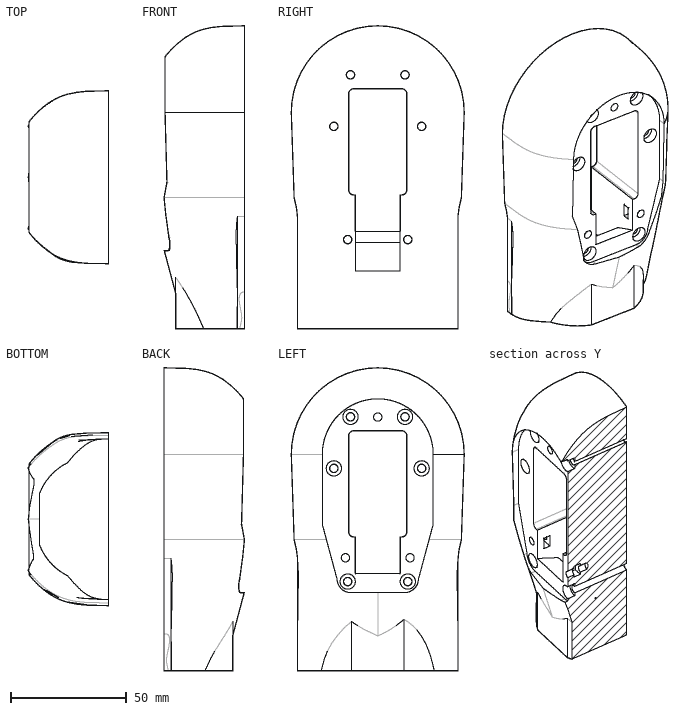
import cadquery as cq
import math


total_height = 131.18
head_radius = 37.47
head_center_z = total_height - head_radius
waist_z = 56.8
waist_half_width = 36.25
side_curve_start_depth = 8.0
side_curve_radius = 33.05
back_direction = (-1, 0)
crest_direction = (-0.12, -1)
neck_back_widths = [(14.2, 34.75), (28.4, 34.5), (42.6, 34.35)]
base_back_half_width = 34.78
base_side_depth = 8.0
base_side_half_width = 33.4
base_shoulder_depth = 17.3
base_shoulder_half_width = 25.0
base_crest_depth = 25.8

foot_face_depth = 29.8
foot_face_half_width = 11.3
foot_corner_bulge = 1.9
foot_side_depth = 3.1
foot_side_half_width = 34.74
foot_shoulder_depth = 16.6
foot_shoulder_half_width = 25.0
foot_height = 51.5

panel_depth = 31.1
panel_half_width = 24.0
panel_taper_z = 63.4
panel_corner_top_z = 39.6
panel_corner_half_width = 17.6
panel_bottom_z = 33.8
panel_bottom_half_width = 11.3

window_top_z = 103.8
window_step_z = 58.0
window_bottom_z = 42.1
window_half_width = 12.5
window_lower_half_width = 9.7
window_corner_radius = 2.0

sill_length = 11.0
sill_drop = 4.7
channel_bottom_z = 25.0

mount_places = [(11.8, 109.9), (19.0, 87.6), (13.0, 38.6)]
mount_hole_diameter = 3.5
counterbore_diameter = 6.6
counterbore_depth = 3.7
screw_hole_diameter = 3.6
screw_hole_depth = 10.0
screw_point_angle = 118.0
top_screw_z = 109.8
side_screw_half_spacing = 14.0
side_screw_z = 48.9
nut_slot_offset = 3.4
nut_slot_thickness = 3.2
nut_slot_height = 5.8
nut_slot_overrun = 3.1


def side_curve(half_width):
    """Points of the side wall as (depth, half width), from the back plane to the crest at Y = 0."""
    center_half_width = half_width - side_curve_radius
    crest_angle = math.acos(-center_half_width / side_curve_radius)
    points = [(0, half_width)]
    for share in (1 / 3, 2 / 3, 1):
        angle = crest_angle * share
        depth = side_curve_start_depth + side_curve_radius * math.sin(angle)
        points.append((depth, center_half_width + side_curve_radius * math.cos(angle)))
    return points


def base_curve():
    """Points of the side wall at the foot, matching those of the upper side curve."""
    return [
        (0, base_back_half_width),
        (base_side_depth, base_side_half_width),
        (base_shoulder_depth, base_shoulder_half_width),
        (base_crest_depth, 0),
    ]


def neck_curve(z, back_half_width):
    """Side wall between foot and waist at height z, with its own width at the back plane."""
    share = z / waist_z
    curve = []
    for low, high in zip(base_curve(), side_curve(waist_half_width)):
        curve.append(tuple(a + (b - a) * share for a, b in zip(low, high)))
    return [(0, back_half_width)] + curve[1:]


def add_side(sketch, curve):
    """Continue a sketch from the back plane along the +Y side wall to the crest."""
    points = [(-depth, half_width) for depth, half_width in curve]
    return sketch.lineTo(*points[0]).spline(
        points[1:], tangents=[back_direction, crest_direction], includeCurrent=True
    )


def section_wire(z, curve):
    """Horizontal shell section: two curved sides that meet in a crest at Y = 0."""
    other_side = [(-depth, -half_width) for depth, half_width in reversed(curve[:-1])]
    leaving_crest = (-crest_direction[0], crest_direction[1])
    reaching_back = (-back_direction[0], back_direction[1])
    sketch = cq.Workplane("XY", origin=(0, 0, z)).moveTo(0, -curve[0][1])
    sketch = add_side(sketch, curve)
    sketch = sketch.spline(other_side, tangents=[leaving_crest, reaching_back], includeCurrent=True)
    return sketch.close().val()


def trunk():
    """Gently tapered length between the waist and the head."""
    waist = section_wire(waist_z, side_curve(waist_half_width))
    top = section_wire(head_center_z, side_curve(head_radius))
    return cq.Workplane(cq.Solid.makeLoft([waist, top], True))


def neck():
    """Lower length, drawn in quickly below the waist and leaning back toward the foot."""
    sections = [section_wire(0, base_curve())]
    for z, back_half_width in neck_back_widths:
        sections.append(section_wire(z, neck_curve(z, back_half_width)))
    sections.append(section_wire(waist_z, side_curve(waist_half_width)))
    return cq.Workplane(cq.Solid.makeLoft(sections))


def head():
    """Half dome: the side profile swept half a turn about an axis along X."""
    profile = add_side(cq.Workplane("XY", origin=(0, 0, head_center_z)), side_curve(head_radius))
    return profile.close().revolve(180, (0, 0, 0), (1, 0, 0))


def foot():
    """Upright block with a flat face, rounded corners and narrow flat sides."""
    corner = (-foot_face_depth, foot_face_half_width)
    shoulder = (-foot_shoulder_depth, foot_shoulder_half_width)
    offset = foot_corner_bulge / math.sqrt(2)
    bulge = ((corner[0] + shoulder[0]) / 2 - offset, (corner[1] + shoulder[1]) / 2 + offset)
    half = (
        cq.Workplane("XY")
        .lineTo(-foot_face_depth, 0)
        .lineTo(*corner)
        .threePointArc(bulge, shoulder)
        .lineTo(-foot_side_depth, foot_side_half_width)
        .lineTo(0, foot_side_half_width)
        .close()
        .extrude(foot_height)
    )
    return half.union(half.mirror("XZ"))


def panel_recess():
    """Everything in front of the panel, within its outline."""
    bend = math.sqrt(0.5)
    corner_drop = panel_corner_top_z - panel_bottom_z
    corner_run = panel_corner_half_width - panel_bottom_half_width
    corner_y = panel_bottom_half_width + corner_run * bend
    corner_z = panel_corner_top_z - corner_drop * bend
    return (
        cq.Workplane("YZ", origin=(-panel_depth, 0, 0))
        .moveTo(panel_half_width, panel_taper_z)
        .lineTo(panel_half_width, head_center_z)
        .threePointArc((0, head_center_z + panel_half_width), (-panel_half_width, head_center_z))
        .lineTo(-panel_half_width, panel_taper_z)
        .lineTo(-panel_corner_half_width, panel_corner_top_z)
        .threePointArc((-corner_y, corner_z), (-panel_bottom_half_width, panel_bottom_z))
        .lineTo(panel_bottom_half_width, panel_bottom_z)
        .threePointArc((corner_y, corner_z), (panel_corner_half_width, panel_corner_top_z))
        .close()
        .extrude(-panel_depth)
    )


def window():
    """Stepped opening from the panel through to the back, with a channel below its sill."""
    upper_height = window_top_z - window_step_z
    upper = (
        cq.Workplane("XY", origin=(0, 0, window_step_z))
        .box(panel_depth, 2 * window_half_width, upper_height, centered=(True, True, False))
        .translate((-panel_depth / 2, 0, 0))
        .edges("|X")
        .fillet(window_corner_radius)
    )
    sill_end_x = sill_length - panel_depth
    lower = (
        cq.Workplane("XZ", origin=(0, window_lower_half_width, 0))
        .moveTo(-panel_depth, window_step_z + window_corner_radius)
        .lineTo(-panel_depth, window_bottom_z)
        .lineTo(sill_end_x, window_bottom_z - sill_drop)
        .lineTo(sill_end_x, channel_bottom_z)
        .lineTo(0, channel_bottom_z)
        .lineTo(0, window_step_z + window_corner_radius)
        .close()
        .extrude(2 * window_lower_half_width)
    )
    return upper.union(lower)


def cylinder_from_panel(diameter, depth, y, z):
    return cq.Workplane("YZ", origin=(-panel_depth, y, z)).circle(diameter / 2).extrude(depth)


def mount_hole(y, z):
    """Through hole with a counterbore in the panel."""
    through = cylinder_from_panel(mount_hole_diameter, panel_depth, y, z)
    return through.union(cylinder_from_panel(counterbore_diameter, counterbore_depth, y, z))


def screw_hole(y, z):
    """Blind hole with a drill point."""
    radius = screw_hole_diameter / 2
    point_length = radius / math.tan(math.radians(screw_point_angle / 2))
    profile = (
        cq.Workplane("XY", origin=(-panel_depth, y, z))
        .lineTo(0, radius)
        .lineTo(screw_hole_depth, radius)
        .lineTo(screw_hole_depth + point_length, 0)
        .close()
    )
    return profile.revolve(360, (0, 0, 0), (1, 0, 0))


def nut_slot(side):
    """Slot from the window wall across a lower screw hole."""
    reach = side_screw_half_spacing + nut_slot_overrun - window_lower_half_width
    x = nut_slot_offset + nut_slot_thickness / 2 - panel_depth
    y = side * (window_lower_half_width + reach / 2)
    slot = cq.Workplane("XY").box(nut_slot_thickness, reach, nut_slot_height)
    return slot.translate((x, y, side_screw_z))


body = head().union(trunk()).union(neck()).union(foot())
body = body.cut(panel_recess()).cut(window())

body = body.cut(screw_hole(0, top_screw_z))
for side in (-1, 1):
    for half_spacing, z in mount_places:
        body = body.cut(mount_hole(side * half_spacing, z))
    body = body.cut(screw_hole(side * side_screw_half_spacing, side_screw_z))
    body = body.cut(nut_slot(side))

result = body